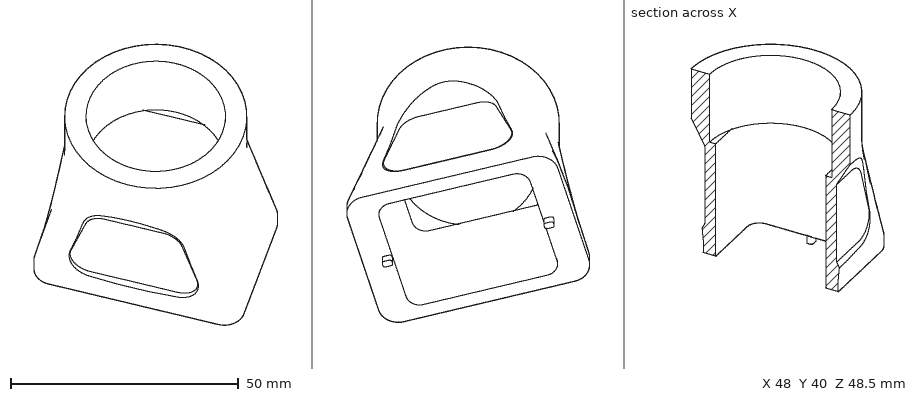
import cadquery as cq
import math

BASE_LENGTH = 48.0
BASE_WIDTH = 33.95
BASE_HEIGHT = 2.95
BASE_CORNER_RADIUS = 4.5

COLLAR_RADIUS = 40.0 / 2
COLLAR_BOTTOM = 33.95
COLLAR_TOP = 46.45
BORE_DIAMETER = 30.6
BORE_DEPTH = 17.45

CORNER_START_ANGLE = 33.0
CORNER_END_ANGLE = 45.0

CAVITY_WIDTH = 27.55
CAVITY_TOP_LENGTH = 31.6
CAVITY_BOTTOM_LENGTH = 34.45
CAVITY_CORNER_RADIUS = 3.05

PANEL_FLOOR_Y = 16.6
PANEL_BOTTOM = 7.55
PANEL_TOP = 27.55
PANEL_BOTTOM_LENGTH = 32.6
PANEL_TOP_LENGTH = 20.1
PANEL_CORNER_RADIUS = 4.6
PANEL_WALL_TAPER = 61.0
PANEL_CUT_DEPTH = 3.9

PIN_SPACING = 36.85
PIN_LENGTH = 2.2
PIN_WIDTH = 1.5
PIN_CORNER_RADIUS = 0.5
PIN_HEIGHT = 2.05


def rounded_rectangle(length, width, radius):
    return cq.Sketch().rect(length, width).vertices().fillet(radius)


def base_edges(z):
    """Base outline, counter-clockwise from the +X side, as alternating sides and corner arcs."""
    half_length = BASE_LENGTH / 2
    half_width = BASE_WIDTH / 2
    arc_x = half_length - BASE_CORNER_RADIUS
    arc_y = half_width - BASE_CORNER_RADIUS
    arc_centers = [(arc_x, arc_y), (-arc_x, arc_y), (-arc_x, -arc_y), (arc_x, -arc_y)]

    def corner_point(corner, angle):
        center_x, center_y = arc_centers[corner]
        return cq.Vector(
            center_x + BASE_CORNER_RADIUS * math.cos(math.radians(angle)),
            center_y + BASE_CORNER_RADIUS * math.sin(math.radians(angle)),
            z,
        )

    edges = []
    for corner in range(4):
        start = 90 * corner
        side_start = corner_point(corner - 1, start)
        arc_points = [corner_point(corner, start + turn) for turn in (0, 45, 90)]
        edges.append(cq.Edge.makeLine(side_start, arc_points[0]))
        edges.append(cq.Edge.makeThreePointArc(*arc_points))
    return edges


def collar_edges(z):
    """Arcs of the collar circle in the same order as the base edges."""

    def circle_point(angle):
        return cq.Vector(
            COLLAR_RADIUS * math.cos(math.radians(angle)),
            COLLAR_RADIUS * math.sin(math.radians(angle)),
            z,
        )

    corner_arcs = []
    for half_turn in (0, 180):
        corner_arcs.append((half_turn + CORNER_START_ANGLE, half_turn + CORNER_END_ANGLE))
        corner_arcs.append((half_turn + 180 - CORNER_END_ANGLE, half_turn + 180 - CORNER_START_ANGLE))

    edges = []
    previous_end = corner_arcs[-1][1] - 360
    for start, end in corner_arcs:
        for first, last in ((previous_end, start), (start, end)):
            arc_points = [circle_point(angle) for angle in (first, (first + last) / 2, last)]
            edges.append(cq.Edge.makeThreePointArc(*arc_points))
        previous_end = end
    return edges


def make_transition():
    """Ruled skin from the rounded rectangle up to the collar circle."""
    lower = base_edges(BASE_HEIGHT)
    upper = collar_edges(COLLAR_BOTTOM)
    faces = [cq.Face.makeRuledSurface(low, high) for low, high in zip(lower, upper)]
    faces.append(cq.Face.makeFromWires(cq.Wire.assembleEdges(lower)))
    faces.append(cq.Face.makeFromWires(cq.Wire.assembleEdges(upper)))
    return cq.Workplane(cq.Solid.makeSolid(cq.Shell.makeShell(faces)))


def make_cavity():
    cavity_top = COLLAR_TOP - BORE_DEPTH
    lower = rounded_rectangle(CAVITY_BOTTOM_LENGTH, CAVITY_WIDTH, CAVITY_CORNER_RADIUS)
    upper = rounded_rectangle(CAVITY_TOP_LENGTH, CAVITY_WIDTH, CAVITY_CORNER_RADIUS)
    upper_location = cq.Location(cq.Vector(0, 0, cavity_top))
    return cq.Workplane("XY").placeSketch(lower, upper.moved(upper_location)).loft()


def make_panel_cutter():
    """Trapezoid with rounded corners whose walls flare outwards from the panel floor."""
    outline = [
        (-PANEL_BOTTOM_LENGTH / 2, PANEL_BOTTOM),
        (PANEL_BOTTOM_LENGTH / 2, PANEL_BOTTOM),
        (PANEL_TOP_LENGTH / 2, PANEL_TOP),
        (-PANEL_TOP_LENGTH / 2, PANEL_TOP),
    ]
    panel = cq.Sketch().polygon(outline + outline[:1]).vertices().fillet(PANEL_CORNER_RADIUS)
    floor_plane = cq.Workplane("XZ", origin=(0, -PANEL_FLOOR_Y, 0))
    return floor_plane.placeSketch(panel).extrude(PANEL_CUT_DEPTH, taper=-PANEL_WALL_TAPER)


def make_pins():
    pin = rounded_rectangle(PIN_LENGTH, PIN_WIDTH, PIN_CORNER_RADIUS)
    pin_centers = [(-PIN_SPACING / 2, 0), (PIN_SPACING / 2, 0)]
    return cq.Workplane("XY").pushPoints(pin_centers).placeSketch(pin).extrude(-PIN_HEIGHT)


base = (
    cq.Workplane("XY")
    .placeSketch(rounded_rectangle(BASE_LENGTH, BASE_WIDTH, BASE_CORNER_RADIUS))
    .extrude(BASE_HEIGHT)
)
collar = (
    cq.Workplane("XY", origin=(0, 0, COLLAR_BOTTOM))
    .circle(COLLAR_RADIUS)
    .extrude(COLLAR_TOP - COLLAR_BOTTOM)
)
bore = (
    cq.Workplane("XY", origin=(0, 0, COLLAR_TOP))
    .circle(BORE_DIAMETER / 2)
    .extrude(-BORE_DEPTH)
)
front_panel = make_panel_cutter()
back_panel = front_panel.mirror("XZ")

hood = base.union(make_transition()).union(collar)
hood = hood.cut(front_panel).cut(back_panel)
hood = hood.cut(make_cavity()).cut(bore)
result = hood.union(make_pins())